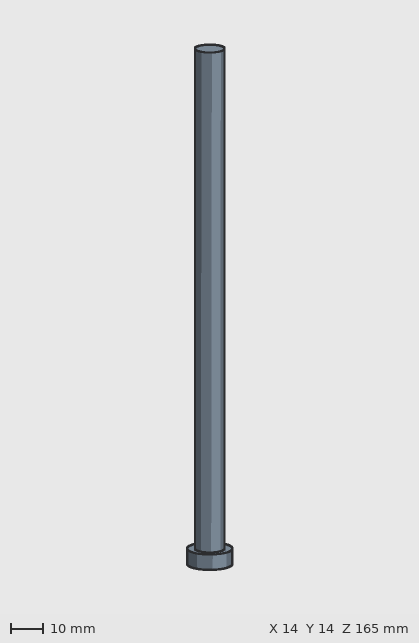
import cadquery as cq

total_length = 165.0
head_diameter = 14.0
head_height = 5.0
shank_diameter = 9.2

head = cq.Workplane("XY").circle(head_diameter / 2).extrude(head_height)
shank = cq.Workplane("XY").circle(shank_diameter / 2).extrude(total_length)

result = head.union(shank)